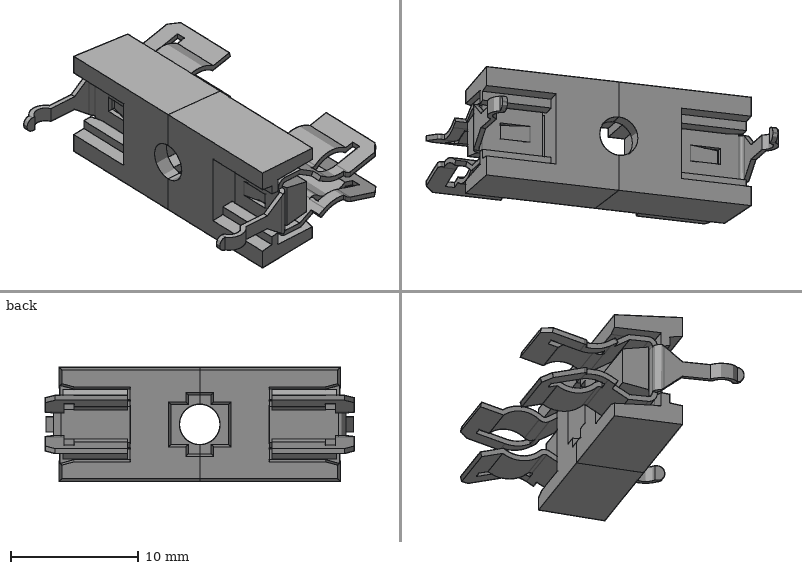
import cadquery as cq
import math


housing_depth = 5.5
front_half_height = 4.5
front_half_length = 11.05
draft_inset = 0.25

hole_radius = 1.58
hole_depth = 1.26
cavity_half_length = 2.25
cavity_half_height = 1.58
cavity_slot_half_width = 0.9
cavity_slot_half_height = 2.3
cavity_draft = 0.2

end_wall_front = 5.25
end_wall_draft = 0.04
recess_depth = 1.02
recess_front_half_height = 2.92
recess_floor_half_height = 2.77
slot_front_half_height = 2.05
slot_rear_half_height = 1.87

lead_in_end = 9.87
pocket_mouth_floor = 1.7
pocket_mouth_half_height = 3.09
pocket_half_height = 2.77
pocket_draft = 0.17

sheet = 0.41
bend_outer = 0.75
bend_inner = bend_outer - sheet
base_front = 1.97
base_rear = base_front + sheet
pocket_floor = base_front
base_inner_end = 5.65
arm_half_height = 2.72
bend_line_y = base_front + bend_outer
bend_line_z = arm_half_height - bend_outer

lean_angle = math.radians(30)
blade_angle = math.radians(15)
contact_y = 7.5
contact_z = 3.85
contact_radius = 2.96
blade_reach = 11.71
bulge_y = 8.4
bulge_z = -0.41
bulge_radius = 2.7
bulge_root_radius = 0.3

wing_half_length = 12.15
wing_start = 8.05
wing_chamfer = 0.78
wing_fillet = 0.3
neck_half_length = 11.66
neck_start = 5.45
relief_outer = 10.65
relief_inner = 9.87
relief_start = 6.25
relief_end = 10.62

pin_outer = 11.5
pin_inner = pin_outer - sheet
base_outer_end = pin_outer - bend_outer
web_top = base_rear - bend_outer
web_half_height = 1.9
pin_half_width = 0.6
flare_top = 1.8
pin_top = 0.12
pin_end = -4.9
pin_end_radius = 0.58
kink_y = -3.25
kink_depth = 0.58
kink_half_length = 1.1
kink_radius = (kink_half_length**2 + kink_depth**2) / (2 * kink_depth)

latch_root = 6.7
latch_tip = 9.19
latch_half_width = 0.65
latch_rise = 0.63

core_outer_end = 10.89
core_rear = 4.84
core_front_half_height = 1.85
core_rear_half_height = 1.4
core_bevel_height = 0.35


def loft(first_outline, second_outline):
    """Solid with flat sides between two outlines given as 3D points."""
    wires = [cq.Wire.makePolygon(points, close=True) for points in (first_outline, second_outline)]
    return cq.Workplane(cq.Solid.makeLoft(wires, True))


def end_wall_x(y):
    """X of the drafted wall at the inner end of the recess, slot and pocket."""
    return -end_wall_front - end_wall_draft * y


def rectangle(y, x_min, x_max, half_height):
    """Corners of a rectangle at the given Y, symmetrical about Z = 0."""
    return [
        cq.Vector(x_min, y, -half_height),
        cq.Vector(x_max, y, -half_height),
        cq.Vector(x_max, y, half_height),
        cq.Vector(x_min, y, half_height),
    ]


def pocket_section(floor_x, rear_x, floor, half_height):
    """Trapezoid across the clip pocket, from its floor to the rear face."""
    rear_half_height = half_height + pocket_draft
    return [
        cq.Vector(floor_x, floor, -half_height),
        cq.Vector(floor_x, floor, half_height),
        cq.Vector(rear_x, housing_depth, rear_half_height),
        cq.Vector(rear_x, housing_depth, -rear_half_height),
    ]


def extrude_along_x(outline, x_min, x_max):
    """Prism along X from an outline of (Y, Z) points."""
    return cq.Workplane("YZ", origin=(x_min, 0, 0)).polyline(outline).close().extrude(x_max - x_min)


def extrude_about_z(outline, half_height):
    """Prism along Z, symmetrical about Z = 0, from an outline of (X, Y) points."""
    return cq.Workplane("XY").polyline(outline).close().extrude(half_height, both=True)


def housing_shell():
    rear_half_length = front_half_length - draft_inset
    rear_half_height = front_half_height - draft_inset
    return loft(
        rectangle(0, -front_half_length, 0, front_half_height),
        rectangle(housing_depth, -rear_half_length, 0, rear_half_height),
    )


def cavity_block(half_length, half_height):
    return loft(
        rectangle(hole_depth, -half_length, 0, half_height),
        rectangle(housing_depth, -half_length - cavity_draft, 0, half_height + cavity_draft),
    )


def housing_core():
    """Tapered block between the clip arms, notched for the latch tongue."""
    core = extrude_along_x(
        [
            (base_rear, -core_front_half_height),
            (core_rear, -core_rear_half_height),
            (core_rear, core_rear_half_height),
            (base_rear, core_front_half_height),
        ],
        -core_outer_end,
        -end_wall_front,
    )
    bevel = extrude_about_z(
        [
            (-core_outer_end, base_rear),
            (-lead_in_end, base_rear),
            (-core_outer_end, base_rear + core_bevel_height),
        ],
        core_front_half_height,
    )
    latch_notch = extrude_about_z(
        [(-latch_root, base_rear), (-latch_tip, base_rear + latch_rise), (-latch_tip, base_rear)],
        latch_half_width,
    )
    return core.cut(bevel).cut(latch_notch)


def make_housing_half():
    hole = cq.Workplane("XZ").circle(hole_radius).extrude(-hole_depth)
    front_recess = loft(
        rectangle(0, -front_half_length, end_wall_x(0), recess_front_half_height),
        rectangle(recess_depth, -front_half_length, end_wall_x(recess_depth), recess_floor_half_height),
    )
    lip_slot = loft(
        rectangle(recess_depth, -front_half_length, end_wall_x(recess_depth), slot_front_half_height),
        rectangle(base_rear, -front_half_length, end_wall_x(base_rear), slot_rear_half_height),
    )
    mouth_section = pocket_section(
        -front_half_length, -front_half_length, pocket_mouth_floor, pocket_mouth_half_height
    )
    inner_section = pocket_section(-lead_in_end, -lead_in_end, pocket_floor, pocket_half_height)
    end_section = pocket_section(
        end_wall_x(pocket_floor), end_wall_x(housing_depth), pocket_floor, pocket_half_height
    )
    return (
        housing_shell()
        .cut(hole)
        .cut(cavity_block(cavity_half_length, cavity_half_height))
        .cut(cavity_block(cavity_slot_half_width, cavity_slot_half_height))
        .cut(front_recess)
        .cut(lip_slot)
        .cut(loft(mouth_section, inner_section))
        .cut(loft(inner_section, end_section))
        .union(housing_core())
    )


def on_circle(centre, radius, angle):
    """Point on a circle, at an angle from the first axis."""
    return (centre[0] + radius * math.cos(angle), centre[1] + radius * math.sin(angle))


def contact_point(radius, angle):
    """Point on the contact bend, at an angle from its lowest point."""
    return (contact_y + radius * math.sin(angle), contact_z - radius * math.cos(angle))


def blade_point(y, radius):
    """Point at the given Y on a face of the blade, which leaves the contact bend tangentially."""
    tangent_y, tangent_z = contact_point(radius, blade_angle)
    return (y, tangent_z + (y - tangent_y) * math.tan(blade_angle))


def lean_y(z, radius):
    """Y at the given Z on a face of the leaning part of the arm."""
    tangent_y, tangent_z = contact_point(radius, -lean_angle)
    return tangent_y - (z - tangent_z) / math.tan(lean_angle)


def distance_to_line(point, line_point, angle):
    """Signed distance of a point to the left of a line, and its position along that line."""
    offset_y = point[0] - line_point[0]
    offset_z = point[1] - line_point[1]
    left = offset_z * math.cos(angle) - offset_y * math.sin(angle)
    along = offset_y * math.cos(angle) + offset_z * math.sin(angle)
    return left, along


def point_on_line(line_point, angle, centre, distance, side):
    """Point of a line at a distance from the centre, ahead (side = 1) or behind (side = -1)."""
    left, along = distance_to_line(centre, line_point, angle)
    return on_circle(line_point, along + side * math.sqrt(distance**2 - left**2), angle)


def bulge_root_centre():
    """Centre of the bend that joins the leaning part of the arm to the bulge, tangent to both."""
    line_point = contact_point(contact_radius - sheet - bulge_root_radius, -lean_angle)
    return point_on_line(
        line_point, -lean_angle, (bulge_y, bulge_z), bulge_radius + bulge_root_radius, side=-1
    )


def bulge_face(offset):
    """Points along a face of the bulged tongue, offset inwards from its outer face.

    The order is: start, middle and end of the root bend, middle of the bulge, start of the blade.
    """
    centre = (bulge_y, bulge_z)
    root = bulge_root_centre()
    root_radius = bulge_root_radius + offset
    radius = bulge_radius - offset
    start_angle = -math.pi / 2 - lean_angle
    end_angle = math.atan2(bulge_z - root[1], bulge_y - root[0])
    blade_start = contact_point(contact_radius - sheet + offset, blade_angle)
    return [
        on_circle(root, root_radius, start_angle),
        on_circle(root, root_radius, (start_angle + end_angle) / 2),
        on_circle(root, root_radius, end_angle),
        on_circle(centre, radius, math.pi / 2),
        point_on_line(blade_start, blade_angle, centre, radius, side=1),
    ]


def contact_face(offset):
    """Start, middle and end of a face of the plain contact bend, offset inwards from its outer face."""
    radius = contact_radius - sheet + offset
    return [contact_point(radius, angle) for angle in (-lean_angle, 0, blade_angle)]


def through_arcs(path, points):
    """Continues a path to the first point and from there along arcs given by middle and end points."""
    path = path.lineTo(*points[0])
    for middle, end in zip(points[1::2], points[2::2]):
        path = path.threePointArc(middle, end)
    return path


def arm_strip(x_min, x_max, grip_face):
    """Half of the base plate with the upper arm, as a bent strip extruded along X."""
    outer_radius = contact_radius - sheet
    inner_z = arm_half_height - sheet
    tip_inner_y, tip_inner_z = blade_point(blade_reach, contact_radius)
    tip_outer = (
        tip_inner_y - sheet * math.sin(blade_angle),
        tip_inner_z + sheet * math.cos(blade_angle),
    )
    bend_centre = (bend_line_y, bend_line_z)
    bend_angles = (math.pi, 0.75 * math.pi, 0.5 * math.pi)
    outer_bend = [on_circle(bend_centre, bend_outer, angle) for angle in bend_angles]
    inner_bend = [on_circle(bend_centre, bend_inner, angle) for angle in bend_angles]

    path = cq.Workplane("YZ", origin=(x_min, 0, 0)).moveTo(base_front, 0)
    path = through_arcs(path, outer_bend)
    path = path.lineTo(lean_y(arm_half_height, outer_radius), arm_half_height)
    path = through_arcs(path, grip_face(0))
    path = path.lineTo(*tip_outer).lineTo(tip_inner_y, tip_inner_z)
    path = through_arcs(path, grip_face(sheet)[::-1])
    path = path.lineTo(lean_y(inner_z, contact_radius), inner_z)
    path = through_arcs(path, inner_bend[::-1])
    return path.lineTo(base_rear, 0).close().extrude(x_max - x_min)


def arm_plan():
    """Region of X and Y that an arm and its blade fill, with the relief slot left out."""
    outline = [
        (-neck_half_length, 0),
        (-neck_half_length, wing_start),
        (-wing_half_length, wing_start),
        (-wing_half_length, blade_reach),
        (-base_inner_end, blade_reach),
        (-base_inner_end, 0),
    ]
    relief = [
        (-relief_outer, relief_start),
        (-relief_outer, relief_end),
        (-relief_inner, relief_end),
        (-relief_inner, relief_start),
    ]
    return extrude_about_z(outline, arm_half_height).cut(extrude_about_z(relief, arm_half_height))


def neck_clearance():
    """Removes the overhang below the neck, square to the leaning part of the arm."""
    tangent_y, tangent_z = contact_point(contact_radius, -lean_angle)
    neck_z = tangent_z + (tangent_y - neck_start) * math.tan(lean_angle)
    return extrude_along_x(
        [
            (0, 0),
            (neck_start - neck_z * math.tan(lean_angle), 0),
            (neck_start + (arm_half_height - neck_z) * math.tan(lean_angle), arm_half_height),
            (0, arm_half_height),
        ],
        -wing_half_length,
        -base_outer_end,
    )


def clip_channel():
    """Base plate and both arms."""
    upper = (
        arm_strip(-wing_half_length, -relief_inner, contact_face)
        .union(arm_strip(-relief_inner, -base_inner_end, bulge_face))
        .intersect(arm_plan())
        .cut(neck_clearance())
    )
    upper = upper.faces("<X").edges(">Y").chamfer(wing_chamfer)
    upper = upper.faces("<X").edges("<Y").fillet(wing_fillet)
    return upper.union(upper.mirror("XY"))


def solder_pin():
    """Web bent down from the base plate, narrowing to the pin with its retaining kink."""
    kink_centre = -pin_outer - kink_depth + kink_radius
    inner_radius = kink_radius - sheet
    inner_half_length = math.sqrt(inner_radius**2 - (kink_centre + pin_inner) ** 2)
    bend_centre = (-base_outer_end, web_top)
    bend_middle = 0.75 * math.pi
    strip = (
        cq.Workplane("XY")
        .moveTo(-base_outer_end, base_rear)
        .threePointArc(on_circle(bend_centre, bend_outer, bend_middle), (-pin_outer, web_top))
        .lineTo(-pin_outer, kink_y + kink_half_length)
        .threePointArc((-pin_outer - kink_depth, kink_y), (-pin_outer, kink_y - kink_half_length))
        .lineTo(-pin_outer, pin_end)
        .lineTo(-pin_inner, pin_end)
        .lineTo(-pin_inner, kink_y - inner_half_length)
        .threePointArc((kink_centre - inner_radius, kink_y), (-pin_inner, kink_y + inner_half_length))
        .lineTo(-pin_inner, web_top)
        .threePointArc(on_circle(bend_centre, bend_inner, bend_middle), (-base_outer_end, base_front))
        .close()
        .extrude(web_half_height, both=True)
    )
    width_outline = extrude_along_x(
        [
            (base_rear, web_half_height),
            (flare_top, web_half_height),
            (pin_top, pin_half_width),
            (pin_end, pin_half_width),
            (pin_end, -pin_half_width),
            (pin_top, -pin_half_width),
            (flare_top, -web_half_height),
            (base_rear, -web_half_height),
        ],
        -wing_half_length,
        -base_outer_end,
    )
    rounded_outline = width_outline.faces("<Y").edges("|X").fillet(pin_end_radius)
    return strip.intersect(rounded_outline)


def latch_tongue():
    """Tongue cut free from the base plate on three sides and bent towards the core."""
    return extrude_about_z(
        [
            (-latch_root, base_front),
            (-latch_tip, base_front + latch_rise),
            (-latch_tip, base_rear + latch_rise),
            (-latch_root, base_rear),
        ],
        latch_half_width,
    )


def make_clip():
    latch_window = extrude_about_z(
        [
            (-latch_root, base_front),
            (-latch_tip, base_front),
            (-latch_tip, base_rear),
            (-latch_root, base_rear),
        ],
        latch_half_width,
    )
    return clip_channel().union(solder_pin()).cut(latch_window).union(latch_tongue())


housing_half = make_housing_half()
clip = make_clip()

bodies = []
for body in (housing_half, clip):
    bodies.append(body.solids().val())
    bodies.append(body.mirror("YZ").solids().val())

result = cq.Compound.makeCompound(bodies)